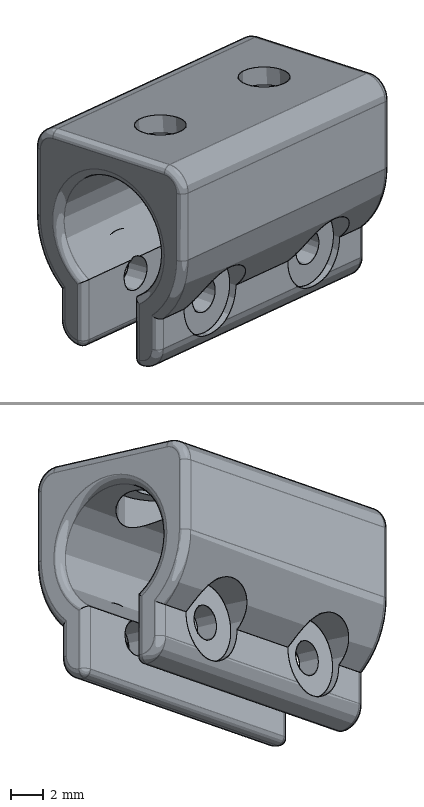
import cadquery as cq
import math

length = 20.0
body_radius = 6.0
top_height = 6.0
leg_bottom = -8.0
bore_radius = 4.0
slot_half_width = 2.0
leg_outer_x = 4.0
corner_radius = 1.5
edge_radius = 0.5

hole_stations = (-5.0, 5.0)
top_hole_diameter = 3.2
top_hole_length = 1.2
top_seat_diameter = 5.6
clamp_hole_diameter = 2.2
clamp_hole_z = -4.5
counterbore_diameter = 5.0
counterbore_depth = 0.5


def clip_body():
    """Square-topped ring with two clamping legs, extruded along Y."""
    arc_end_z = -math.sqrt(body_radius**2 - leg_outer_x**2)
    arc_mid_angle = math.atan2(arc_end_z, leg_outer_x) / 2
    arc_mid_x = body_radius * math.cos(arc_mid_angle)
    arc_mid_z = body_radius * math.sin(arc_mid_angle)
    bore_end_z = -math.sqrt(bore_radius**2 - slot_half_width**2)
    profile = (
        cq.Workplane("XZ")
        .moveTo(-body_radius, top_height)
        .lineTo(body_radius, top_height)
        .lineTo(body_radius, 0)
        .threePointArc((arc_mid_x, arc_mid_z), (leg_outer_x, arc_end_z))
        .lineTo(leg_outer_x, leg_bottom + corner_radius)
        .radiusArc((leg_outer_x - corner_radius, leg_bottom), corner_radius)
        .radiusArc((slot_half_width, leg_bottom + edge_radius), edge_radius)
        .lineTo(slot_half_width, bore_end_z)
        .threePointArc((0, bore_radius), (-slot_half_width, bore_end_z))
        .lineTo(-slot_half_width, leg_bottom + edge_radius)
        .radiusArc((corner_radius - leg_outer_x, leg_bottom), edge_radius)
        .radiusArc((-leg_outer_x, leg_bottom + corner_radius), corner_radius)
        .lineTo(-leg_outer_x, arc_end_z)
        .threePointArc((-arc_mid_x, arc_mid_z), (-body_radius, 0))
        .close()
    )
    body = profile.extrude(length / 2, both=True)
    body = body.faces(">Z").edges("|Y").fillet(corner_radius)
    return body.faces("<Y or >Y").edges().fillet(edge_radius)


def top_holes():
    """Vertical holes through the flat top, counterbored from inside the bore."""
    centers = [(0, y) for y in hole_stations]
    holes = (
        cq.Workplane("XY")
        .pushPoints(centers)
        .circle(top_hole_diameter / 2)
        .extrude(top_height)
    )
    counterbore = (
        cq.Workplane("XY")
        .pushPoints(centers)
        .circle(top_seat_diameter / 2)
        .extrude(top_height - top_hole_length)
    )
    return holes.union(counterbore)


def clamp_holes():
    """Cross holes through both legs, counterbored on the outer sides."""
    centers = [(y, clamp_hole_z) for y in hole_stations]
    holes = (
        cq.Workplane("YZ")
        .pushPoints(centers)
        .circle(clamp_hole_diameter / 2)
        .extrude(body_radius, both=True)
    )
    seat_x = leg_outer_x - counterbore_depth
    counterbore = (
        cq.Workplane("YZ", origin=(seat_x, 0, 0))
        .pushPoints(centers)
        .circle(counterbore_diameter / 2)
        .extrude(body_radius - seat_x)
    )
    return holes.union(counterbore).union(counterbore.mirror("YZ"))


result = clip_body().cut(top_holes()).cut(clamp_holes())